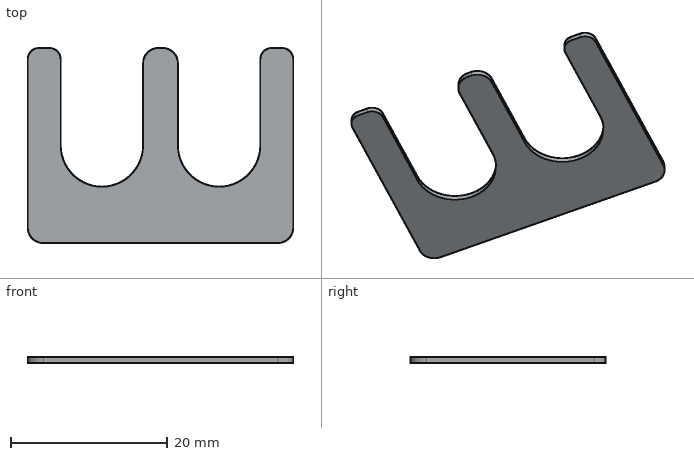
import cadquery as cq

length = 34.0
depth = 25.0
thickness = 0.8
base_corner_radius = 2.0

slot_width = 10.5
slot_pitch = 15.0
slot_floor = 7.25

outer_tip_radius = 1.5
middle_tip_radius = 2.0
selection_margin = 0.35

slot_radius = slot_width / 2
slot_center_y = -depth / 2 + slot_floor + slot_radius
middle_finger_width = slot_pitch - slot_width
outer_finger_width = (length - slot_pitch - slot_width) / 2
outer_finger_x = (length - outer_finger_width) / 2


def slot_cutter(center_x):
    """Round-bottomed slot running out through the +Y edge."""
    left = center_x - slot_radius
    right = center_x + slot_radius
    return (
        cq.Workplane("XY")
        .moveTo(left, depth / 2)
        .lineTo(left, slot_center_y)
        .threePointArc((center_x, slot_center_y - slot_radius), (right, slot_center_y))
        .lineTo(right, depth / 2)
        .close()
        .extrude(thickness)
    )


plate = cq.Workplane("XY").box(length, depth, thickness, centered=(True, True, False))
for side in (-1, 1):
    plate = plate.cut(slot_cutter(side * slot_pitch / 2))

plate = plate.edges("|Z and <Y").fillet(base_corner_radius)


def round_tip(body, center_x, width, radius):
    """Round the two +Y corners of the finger centred at center_x."""
    reach = width / 2 + selection_margin
    tip_corners = cq.selectors.BoxSelector(
        (center_x - reach, depth / 2 - selection_margin, 0),
        (center_x + reach, depth / 2 + selection_margin, thickness),
    )
    return body.edges("|Z").edges(tip_corners).fillet(radius)


plate = round_tip(plate, 0, middle_finger_width, middle_tip_radius)
for side in (-1, 1):
    plate = round_tip(plate, side * outer_finger_x, outer_finger_width, outer_tip_radius)

result = plate